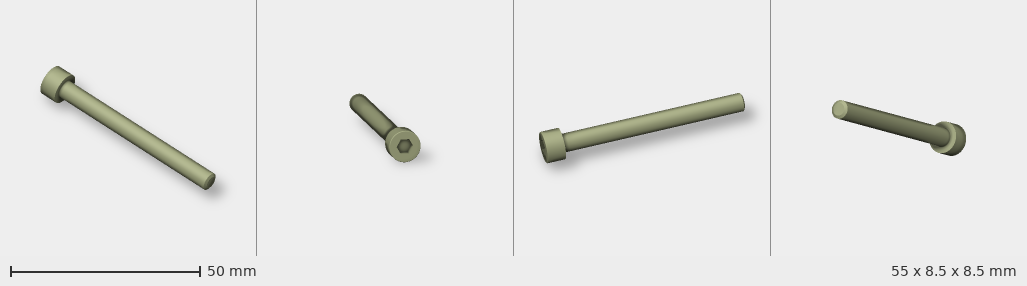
import cadquery as cq
import math

total_length = 55.0
head_diameter = 8.5
head_length = 5.0
head_edge_radius = 0.2
shank_diameter = 5.0
neck_fillet = 0.2
tip_chamfer_length = 0.45
tip_chamfer_depth = 0.75
socket_across_flats = 3.95
socket_depth = 2.5

head_radius = head_diameter / 2
shank_radius = shank_diameter / 2
head_start = -total_length / 2
head_end = head_start + head_length
tip_end = total_length / 2


def make_body():
    """Revolve the half profile of head, neck fillet, shank and chamfered tip about X."""
    arc_offset = head_edge_radius * math.sqrt(0.5)
    edge_center_x = head_start + head_edge_radius
    edge_center_r = head_radius - head_edge_radius
    neck_offset = neck_fillet * math.sqrt(0.5)
    neck_center_x = head_end + neck_fillet
    neck_center_r = shank_radius + neck_fillet
    return (
        cq.Workplane("XY")
        .moveTo(head_start, 0)
        .lineTo(head_start, edge_center_r)
        .threePointArc(
            (edge_center_x - arc_offset, edge_center_r + arc_offset),
            (edge_center_x, head_radius),
        )
        .lineTo(head_end, head_radius)
        .lineTo(head_end, neck_center_r)
        .threePointArc(
            (neck_center_x - neck_offset, neck_center_r - neck_offset),
            (neck_center_x, shank_radius),
        )
        .lineTo(tip_end - tip_chamfer_length, shank_radius)
        .lineTo(tip_end, shank_radius - tip_chamfer_depth)
        .lineTo(tip_end, 0)
        .close()
        .revolve(360, (0, 0, 0), (1, 0, 0))
    )


def make_socket():
    """Hexagonal drive recess with two corners on the Y axis."""
    across_corners = socket_across_flats / math.cos(math.pi / 6)
    return (
        cq.Workplane("YZ", origin=(head_start, 0, 0))
        .polygon(6, across_corners)
        .extrude(socket_depth)
    )


result = make_body().cut(make_socket())